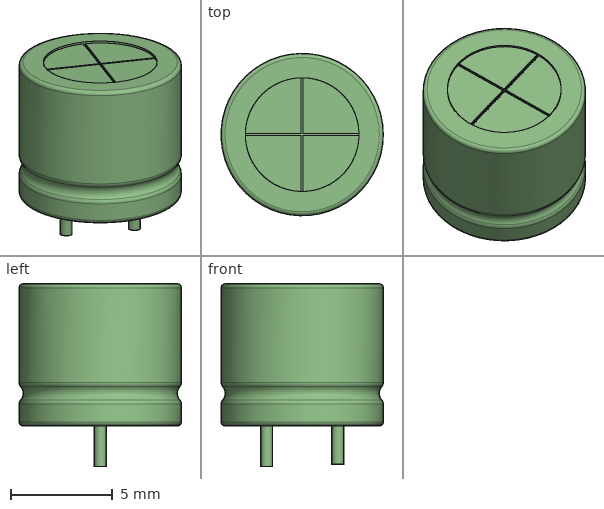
import cadquery as cq
import math

can_radius = 4.0
can_height = 7.0
rim_fillet = 0.2

crimp_z = 1.6
crimp_depth = 0.2
crimp_radius = 0.5
crimp_blend = 0.3

vent_diameter = 5.6
vent_depth = 0.1
score_width = 0.1
score_depth = 0.1

lead_diameter = 0.6
lead_spacing = 3.5
long_lead = 2.0
short_lead = 1.9


def can_body():
    """Revolve the half profile of the can, crimp groove included."""
    floor_radius = can_radius - crimp_depth
    radius_sum = crimp_radius + crimp_blend
    blend_rise = math.sqrt(radius_sum**2 - (radius_sum - crimp_depth) ** 2)
    blend_centre_r = can_radius - crimp_blend
    blend_angle = math.asin(blend_rise / radius_sum)

    touch_r = blend_centre_r + crimp_blend * math.cos(blend_angle)
    touch_rise = blend_rise - crimp_blend * math.sin(blend_angle)
    middle_r = blend_centre_r + crimp_blend * math.cos(blend_angle / 2)
    middle_rise = blend_rise - crimp_blend * math.sin(blend_angle / 2)

    profile = (
        cq.Workplane("XZ")
        .lineTo(can_radius, 0)
        .lineTo(can_radius, crimp_z - blend_rise)
        .threePointArc((middle_r, crimp_z - middle_rise), (touch_r, crimp_z - touch_rise))
        .threePointArc((floor_radius, crimp_z), (touch_r, crimp_z + touch_rise))
        .threePointArc((middle_r, crimp_z + middle_rise), (can_radius, crimp_z + blend_rise))
        .lineTo(can_radius, can_height)
        .lineTo(0, can_height)
        .close()
    )
    body = profile.revolve(360, (0, 0, 0), (0, 1, 0))
    return body.faces("<Z or >Z").edges().fillet(rim_fillet)


def vent_cut():
    """Shallow round recess plus two crossing score lines clipped to its circle."""
    vent_floor = can_height - vent_depth
    score_floor = vent_floor - score_depth
    recess = cq.Workplane().workplane(offset=vent_floor).circle(vent_diameter / 2).extrude(vent_depth)
    disc = cq.Workplane().workplane(offset=score_floor).circle(vent_diameter / 2).extrude(score_depth)
    scores = cq.Workplane().workplane(offset=score_floor)
    score_x = scores.rect(vent_diameter, score_width).extrude(score_depth)
    score_y = scores.rect(score_width, vent_diameter).extrude(score_depth)
    return recess.union(score_x.union(score_y).intersect(disc))


def lead(x, length):
    """Round wire leaving the underside of the can."""
    return cq.Workplane().center(x, 0).circle(lead_diameter / 2).extrude(-length)


result = (
    can_body()
    .cut(vent_cut())
    .union(lead(-lead_spacing / 2, long_lead))
    .union(lead(lead_spacing / 2, short_lead))
)